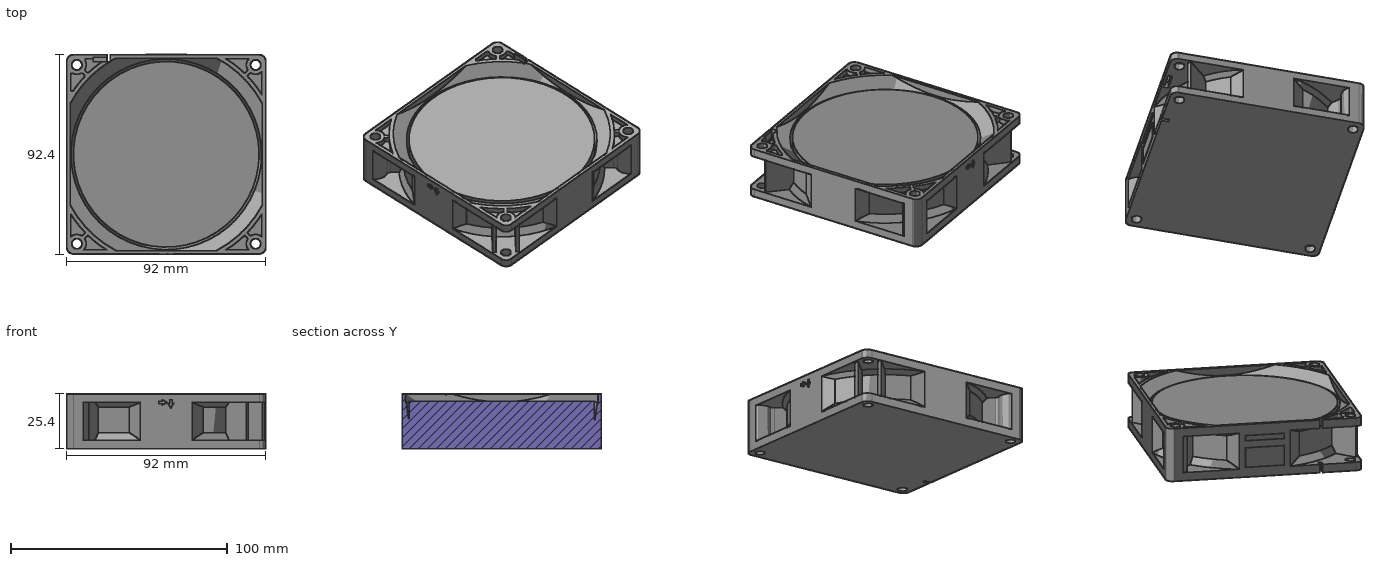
import cadquery as cq
import math

side = 92.0
height = 25.4
half_side = side / 2
top_z = height / 2
corner_radius = 3.2
flange_thickness = 4.0
cavity_top = top_z - flange_thickness
cavity_height = 2 * cavity_top

hole_offset = 41.25
hole_diameter = 4.6
hole_distance = hole_offset * math.sqrt(2)

duct_outer_radius = 45.4
flare_radius = 47.5
upper_flare_start = 6.6
lower_flare_start = -5.2
mouth_radius = 50.1
mouth_half_width = 44.4
throat_radius = 44.0
throat_top = cavity_top
throat_bottom = 0.0

hub_radius = 42.8
hub_setback = 3.4
hub_top = top_z - hub_setback

block_half_width = 12.0
block_root_half_width = 17.1
block_root_distance = 42.1

boss_radius = 5.55
web_thickness = 2.2
web_fillet_radius = 2.0

wall_outer_offset = 6.15
wall_inner_offset = 4.55
wall_end = 58.2

recess_depth = 2.5
recess_rim = 44.1
recess_inner_radius = 52.0
recess_hole_margin = 4.3
recess_web_thickness = 1.7
recess_corner_radius = 0.7

slot_left = -27.3
slot_right = -25.9
slot_bottom = 42.7
hook_left = -33.7
hook_top = 44.7

mark_height = 0.2
label_width = 18.3
upper_label_span = (4.9, 7.4)
lower_label_span = (-7.9, 1.5)
arrow_length = 3.7
arrow_width = 2.6
arrow_shaft_width = 1.1
arrow_shaft_length = 1.5
axial_arrow_tail = (2.1, 9.85)
turning_arrow_tail = (-3.45, 8.75)


def box(x_span, y_span, z_span):
    """Box between the given limits along each axis."""
    sizes = [span[1] - span[0] for span in (x_span, y_span, z_span)]
    corner = (x_span[0], y_span[0], z_span[0])
    return cq.Workplane("XY").box(*sizes, centered=False).translate(corner)


def cylinder(radius, bottom, top):
    """Cylinder on the Z axis."""
    return cq.Workplane("XY").workplane(offset=bottom).circle(radius).extrude(top - bottom)


def revolved(points):
    """Solid of revolution about Z from (radius, z) points."""
    return cq.Workplane("XZ").polyline(points).close().revolve(360, (0, 0, 0), (0, 1, 0))


def rounded_square(bottom, top):
    """Slice of the outer square with its rounded corners."""
    plate = box((-half_side, half_side), (-half_side, half_side), (bottom, top))
    return plate.edges("|Z").fillet(corner_radius)


def duct_wall():
    """Solid outer form of the duct, flaring towards both flanges."""
    return revolved([
        (0, -cavity_top),
        (flare_radius, -cavity_top),
        (duct_outer_radius, lower_flare_start),
        (duct_outer_radius, upper_flare_start),
        (flare_radius, cavity_top),
        (0, cavity_top),
    ])


def side_block(angle):
    """Block that closes the middle of one side, widening towards the duct."""
    outline = [
        (-block_half_width, half_side),
        (block_half_width, half_side),
        (block_root_half_width, block_root_distance),
        (block_root_half_width, 0),
        (-block_root_half_width, 0),
        (-block_root_half_width, block_root_distance),
    ]
    block = cq.Workplane("XY").polyline(outline).close().extrude(cavity_height)
    return block.translate((0, 0, -cavity_top)).rotate((0, 0, 0), (0, 0, 1), angle)


def solid_corner(angle):
    """Screw boss joined to the duct by a web along the diagonal."""
    boss = cylinder(boss_radius, -cavity_top, cavity_top).translate((hole_distance, 0, 0))
    half_web = web_thickness / 2
    web = box((0, hole_distance), (-half_web, half_web), (-cavity_top, cavity_top))
    blend_x = hole_distance - boss_radius
    near_blend = cq.selectors.BoxSelector(
        (blend_x - half_web, -web_thickness, -cavity_top),
        (blend_x + half_web, web_thickness, cavity_top),
    )
    corner = boss.union(web).edges("|Z").edges(near_blend).fillet(web_fillet_radius)
    return corner.rotate((0, 0, 0), (0, 0, 1), angle)


def open_corner(angle, both_walls):
    """Walls beside the diagonal, leaving the screw accessible between the flanges."""
    z_span = (-cavity_top, cavity_top)
    outer = box((0, wall_end), (-wall_outer_offset, wall_outer_offset), z_span)
    gap_start = -wall_inner_offset if both_walls else -wall_outer_offset
    gap = box((0, wall_end), (gap_start, wall_inner_offset), z_span)
    return outer.cut(gap).rotate((0, 0, 0), (0, 0, 1), angle)


def frame():
    """Two flanges held apart by the duct, side blocks and corners."""
    core = duct_wall()
    for angle in (0, 90, 180, 270):
        core = core.union(side_block(angle))
    for angle in (45, 225):
        core = core.union(solid_corner(angle))
    core = core.union(open_corner(315, both_walls=True))
    core = core.union(open_corner(135, both_walls=False))
    core = core.intersect(rounded_square(-cavity_top, cavity_top))
    lower_flange = rounded_square(-top_z, -cavity_top)
    upper_flange = rounded_square(cavity_top, top_z)
    return core.union(lower_flange).union(upper_flange)


def duct_opening():
    """Conical mouth clipped to a square, above a tapered gap around the hub."""
    opening = revolved([
        (0, throat_bottom),
        (hub_radius, throat_bottom),
        (throat_radius, throat_top),
        (mouth_radius, top_z),
        (0, top_z),
    ])
    limit = (-mouth_half_width, mouth_half_width)
    opening = opening.intersect(box(limit, limit, (throat_bottom, top_z)))
    return opening.cut(cylinder(hub_radius, throat_bottom, hub_top))


def corner_recess(angle, edge_radius):
    """Pair of shallow recesses beside one screw hole, split by a diagonal web."""
    floor = top_z - recess_depth
    recess = box((0, recess_rim), (0, recess_rim), (floor, top_z))
    recess = recess.cut(cylinder(recess_inner_radius, floor, top_z))
    margin = cylinder(recess_hole_margin, floor, top_z)
    recess = recess.cut(margin.translate((hole_offset, hole_offset, 0)))
    half_web = recess_web_thickness / 2
    web = box((0, side), (-half_web, half_web), (floor, top_z))
    recess = recess.cut(web.rotate((0, 0, 0), (0, 0, 1), 45))
    corner_tip = box((hole_offset, half_side), (hole_offset, half_side), (floor, top_z))
    recess = recess.cut(corner_tip)
    if edge_radius:
        recess = recess.edges("|Z").fillet(edge_radius)
    return recess.rotate((0, 0, 0), (0, 0, 1), angle)


def cable_slot():
    """Slot through both flanges with a sideways hook in the upper one."""
    slot = box((slot_left, slot_right), (slot_bottom, half_side), (-top_z, top_z))
    hook = box((hook_left, slot_left), (slot_bottom, hook_top), (cavity_top, top_z))
    return slot.union(hook)


def raised_arrow(tail, angle):
    """Arrow standing on the -Y face, its tail at (x, z) and turned from pointing at +X."""
    half_shaft = arrow_shaft_width / 2
    half_head = arrow_width / 2
    outline = [
        (0, -half_shaft),
        (arrow_shaft_length, -half_shaft),
        (arrow_shaft_length, -half_head),
        (arrow_length, 0),
        (arrow_shaft_length, half_head),
        (arrow_shaft_length, half_shaft),
        (0, half_shaft),
    ]
    arrow = cq.Workplane("XZ").polyline(outline).close().extrude(mark_height)
    arrow = arrow.rotate((0, 0, 0), (0, 1, 0), angle)
    return arrow.translate((tail[0], -half_side, tail[1]))


def raised_label(z_span):
    """Thin label pad standing on the +Y face."""
    x_span = (-label_width / 2, label_width / 2)
    return box(x_span, (half_side, half_side + mark_height), z_span)


result = frame().cut(duct_opening())

for recess_angle in (0, 180, 270):
    result = result.cut(corner_recess(recess_angle, 0))
result = result.cut(corner_recess(90, recess_corner_radius))

for x_sign in (-1, 1):
    for y_sign in (-1, 1):
        hole = cylinder(hole_diameter / 2, -top_z, top_z)
        result = result.cut(hole.translate((x_sign * hole_offset, y_sign * hole_offset, 0)))

result = result.cut(cable_slot())
result = result.union(raised_arrow(axial_arrow_tail, 90))
result = result.union(raised_arrow(turning_arrow_tail, 0))
result = result.union(raised_label(upper_label_span))
result = result.union(raised_label(lower_label_span))